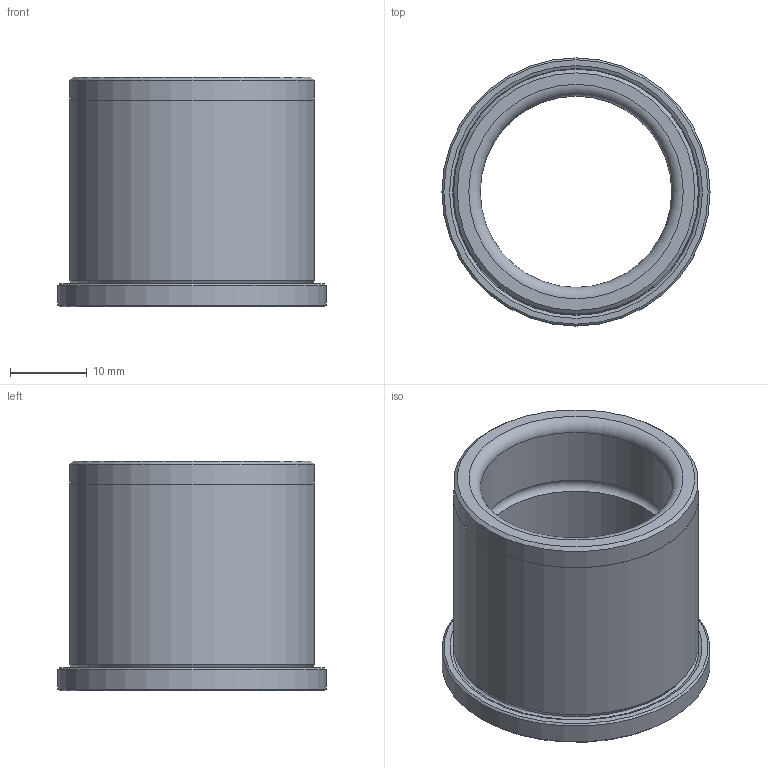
import cadquery as cq
import math

length = 30.0
flange_radius = 17.5
flange_height = 3.0
flange_edge_chamfer = 0.25
body_radius = 16.0
bore_radius = 12.5

lead_length = 3.0
lead_clearance = 0.02
top_chamfer_height = 0.4
top_chamfer_width = 0.5
bore_mouth_radius = 1.5

relief_reach = 0.5
relief_flange_depth = 0.2
relief_sleeve_depth = 0.3
relief_floor_offset = 0.1
relief_corner_radius = 0.3

oil_groove_z = 2 * length / 3
oil_groove_width = 1.8
oil_groove_depth = 0.7


def make_blank():
    """Flanged sleeve turned about Z, with a plain bore."""
    lead_radius = body_radius - lead_clearance
    mouth_mid = bore_mouth_radius * (1 - math.sqrt(0.5))
    profile = (
        cq.Workplane("XZ")
        .moveTo(bore_radius, 0)
        .lineTo(flange_radius - flange_edge_chamfer, 0)
        .lineTo(flange_radius, flange_edge_chamfer)
        .lineTo(flange_radius, flange_height - flange_edge_chamfer)
        .lineTo(flange_radius - flange_edge_chamfer, flange_height)
        .lineTo(body_radius + relief_reach, flange_height)
        .lineTo(body_radius + relief_floor_offset, flange_height - relief_flange_depth)
        .radiusArc(
            (body_radius - relief_sleeve_depth, flange_height),
            relief_corner_radius,
        )
        .lineTo(body_radius, flange_height + relief_reach)
        .lineTo(body_radius, length - lead_length)
        .lineTo(lead_radius, length - lead_length)
        .lineTo(lead_radius, length - top_chamfer_height)
        .lineTo(body_radius - top_chamfer_width, length)
        .lineTo(bore_radius + bore_mouth_radius, length)
        .threePointArc(
            (bore_radius + mouth_mid, length - mouth_mid),
            (bore_radius, length - bore_mouth_radius),
        )
        .close()
    )
    return profile.revolve(360, (0, 0, 0), (0, 1, 0))


def make_oil_groove():
    """Ring with an arc-shaped outer side, to be cut from the bore wall."""
    half_width = oil_groove_width / 2
    return (
        cq.Workplane("XZ")
        .moveTo(bore_radius, oil_groove_z - half_width)
        .threePointArc(
            (bore_radius + oil_groove_depth, oil_groove_z),
            (bore_radius, oil_groove_z + half_width),
        )
        .close()
        .revolve(360, (0, 0, 0), (0, 1, 0))
    )


result = make_blank().cut(make_oil_groove())